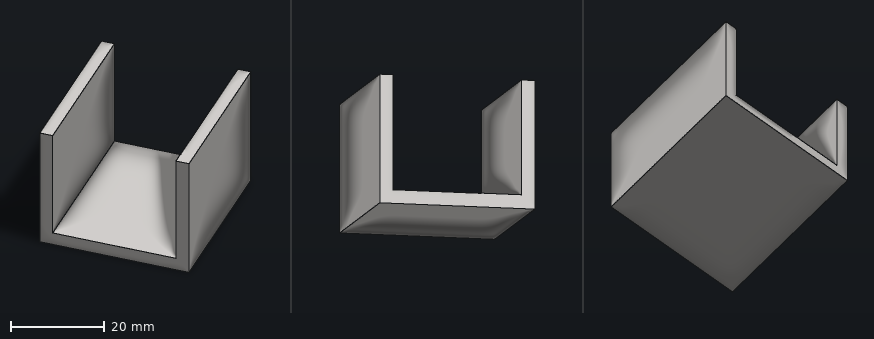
import cadquery as cq

width = 34.12
length = 38.0
height = 28.0

wall = 3.0

block = cq.Workplane("XY").box(width, length, height, centered=(True, True, False))

cavity = (
    cq.Workplane("XY")
    .workplane(offset=wall)
    .box(width - 2 * wall, length, height - wall, centered=(True, True, False))
)

result = block.cut(cavity)